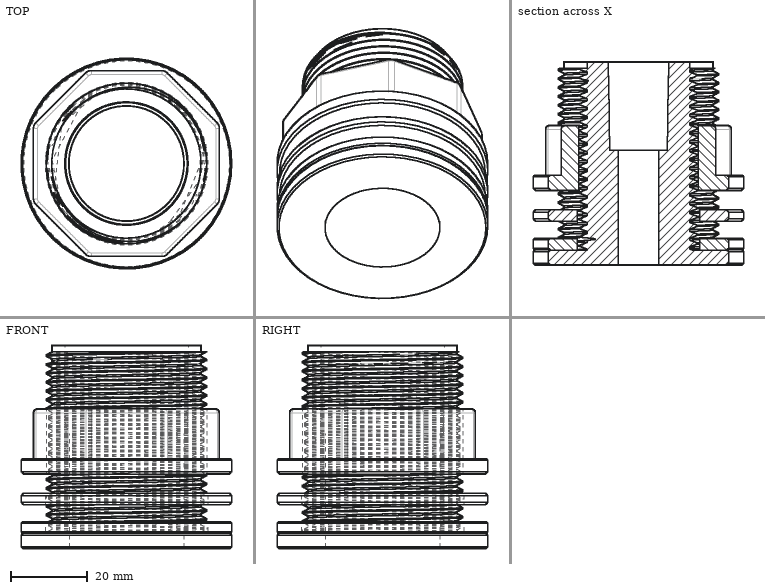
import cadquery as cq
import math


flange_diameter = 55.0
clearance_bore = 42.5

total_height = 53.0
base_flange_height = 4.0
base_flange_chamfer = 0.5
bore_diameter = 30.0
socket_mouth_diameter = 32.2
socket_floor_diameter = 31.8
socket_depth = 23.0

threads_per_inch = 11
thread_pitch = 25.4 / threads_per_inch
thread_major_diameter = 41.91
thread_minor_diameter = 38.95
thread_angle = 55.0
crest_width = 0.3
crest_phase = 0.71
thread_top = 51.4
root_overlap = 0.1

gasket_height = 3.0
gasket_chamfer = 0.4

washer_bottom = 11.4
washer_height = 3.1
washer_chamfer = 0.65

nut_bottom = 19.45
nut_height = 17.0
nut_running_clearance = 0.02
nut_bore = thread_major_diameter + nut_running_clearance
nut_flange_height = 4.0
nut_flange_bottom_chamfer = 0.65
nut_flange_top_chamfer = 0.4
octagon_flats = 48.5
octagon_sides = 8
octagon_corner_radius = 2.0
octagon_top_radius = 1.0


def disc(diameter, bottom, height):
    """Plain cylinder standing on the height `bottom`."""
    return cq.Workplane("XY").workplane(offset=bottom).circle(diameter / 2).extrude(height)


def chamfered_ring(bottom, height, chamfer):
    """Ring of the flange diameter with the clearance bore and chamfered outer rims."""
    ring = disc(flange_diameter, bottom, height).edges().chamfer(chamfer)
    return ring.cut(disc(clearance_bore, bottom, height))


def thread_ridge():
    """Helical ridge, cut off flat at the base flange and at the thread top."""
    crest_radius = thread_major_diameter / 2
    root_radius = thread_minor_diameter / 2 - root_overlap
    flank_run = (crest_radius - root_radius) * math.tan(math.radians(thread_angle / 2))
    half_crest = crest_width / 2
    half_root = half_crest + flank_run

    start = crest_phase
    turns = math.ceil((thread_top - start) / thread_pitch) + 1
    path = cq.Wire.makeHelix(thread_pitch, turns * thread_pitch, root_radius).translate(
        cq.Vector(0, 0, start)
    )
    profile = cq.Workplane("XZ").polyline(
        [
            (root_radius, start - half_root),
            (crest_radius, start - half_crest),
            (crest_radius, start + half_crest),
            (root_radius, start + half_root),
        ]
    ).close()
    ridge = profile.sweep(cq.Workplane(obj=path), isFrenet=True)

    threaded_zone = disc(flange_diameter, base_flange_height, thread_top - base_flange_height)
    return ridge.intersect(threaded_zone)


def socket_cutter():
    """Slightly tapered pipe socket, narrower at its floor."""
    socket_floor = total_height - socket_depth
    return (
        cq.Workplane("XZ")
        .polyline(
            [
                (0, socket_floor),
                (socket_floor_diameter / 2, socket_floor),
                (socket_mouth_diameter / 2, total_height),
                (0, total_height),
            ]
        )
        .close()
        .revolve(360, (0, 0, 0), (0, 1, 0))
    )


def make_connector():
    """Threaded tube on the base flange, bored through and socketed at the top."""
    flange = disc(flange_diameter, 0, base_flange_height).edges().chamfer(base_flange_chamfer)
    tube = disc(thread_minor_diameter, 0, total_height)
    through_bore = disc(bore_diameter, 0, total_height)
    return flange.union(tube).union(thread_ridge()).cut(through_bore).cut(socket_cutter())


def make_nut():
    """Round flange and octagon with a plain bore closely fitting the thread crests."""
    nut_flange = disc(flange_diameter, nut_bottom, nut_flange_height)
    nut_flange = nut_flange.edges("<Z").chamfer(nut_flange_bottom_chamfer)
    nut_flange = nut_flange.edges(">Z").chamfer(nut_flange_top_chamfer)

    across_corners = octagon_flats / math.cos(math.pi / octagon_sides)
    octagon = (
        cq.Workplane("XY")
        .workplane(offset=nut_bottom)
        .transformed(rotate=(0, 0, 180 / octagon_sides))
        .polygon(octagon_sides, across_corners)
        .extrude(nut_height)
        .edges("|Z")
        .fillet(octagon_corner_radius)
        .faces(">Z")
        .edges()
        .fillet(octagon_top_radius)
    )
    return nut_flange.union(octagon).cut(disc(nut_bore, nut_bottom, nut_height))


connector = make_connector()
gasket = chamfered_ring(base_flange_height, gasket_height, gasket_chamfer)
washer = chamfered_ring(washer_bottom, washer_height, washer_chamfer)
nut = make_nut()

bodies = [connector, gasket, washer, nut]
result = cq.Compound.makeCompound([body.solids().val() for body in bodies])